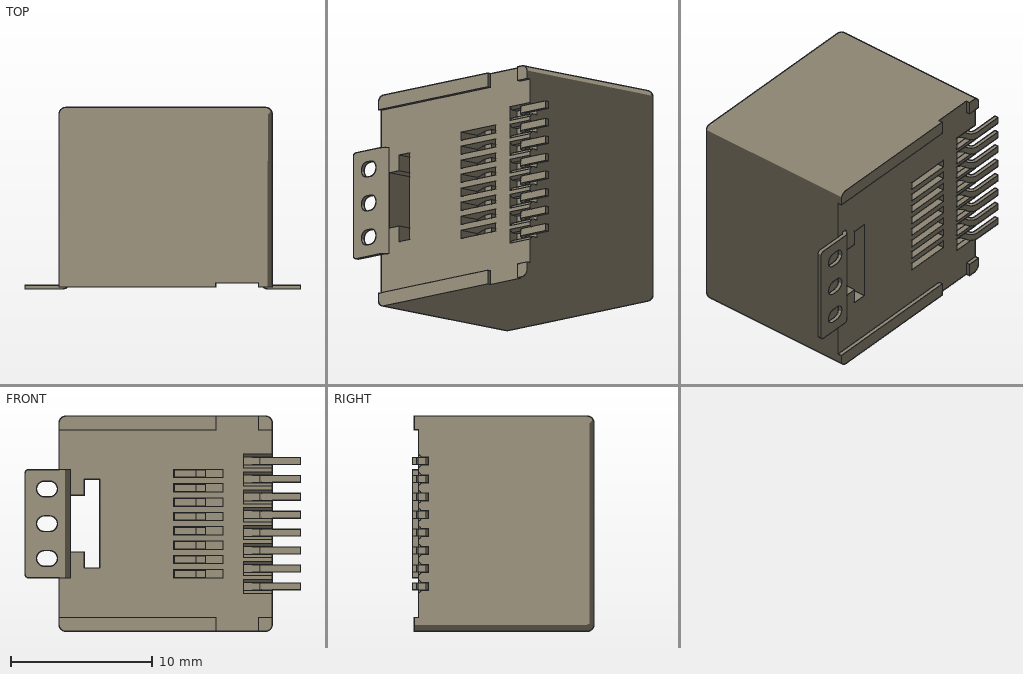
import cadquery as cq


total_x = 19.48
total_y = 12.85
body_z = 15.23
sheet = 0.3

tab_reach = 2.4
pin_reach = 1.99
body_left = tab_reach
body_right = total_x - pin_reach
rail_gap = 0.14
rail_height = 0.3
face_y = rail_gap + rail_height
edge_radius = 0.5

rail_width = 1.0
long_rail = 11.1
short_rail = 1.0

tab_z = 7.65
tab_bend_start = body_left + 0.21
tab_bend_radius = 0.62
tab_leg_depth = 1.55
tab_corner_radius = 0.25
hole_x = 1.55
hole_length = 1.46
hole_width = 1.1
hole_pitch = 2.45
hole_count = 3

latch_left = tab_bend_start + tab_bend_radius
latch_neck_x = 0.97
latch_neck_z = 4.0
latch_head_x = 1.07
latch_head_z = 6.25

way_count = 8
slot_left = body_left + 8.1
slot_x = 3.49
slot_z = 0.58
slot_pitch = 1.01
slot_depth = 1.75
contact_z = 0.5
contact_left = slot_left + 0.05
contact_knee = contact_left + 1.54
contact_right = contact_knee + 0.68
contact_tip_depth = 0.78
contact_knee_depth = 0.82
contact_tail_depth = 1.52

pin_pitch = 1.27
pin_z = 0.5
outer_bend = 0.6
inner_bend = 0.53
pocket_x = 2.05
pocket_z = 1.0
pocket_bevel = 0.21
pocket_left = body_right - pocket_x
pocket_floor_y = outer_bend + inner_bend
pin_bend_x = pocket_left + 1.17


def block(x_min, x_max, y_min, y_max, height):
    """Box centred on Z = 0."""
    return (
        cq.Workplane("XY")
        .box(x_max - x_min, y_max - y_min, height, centered=(False, False, True))
        .translate((x_min, y_min, 0))
    )


def row(pitch, count):
    """Z places of a centred row."""
    return [(i - (count - 1) / 2) * pitch for i in range(count)]


def make_housing():
    housing = block(body_left, body_right, rail_gap, total_y, body_z)
    housing = housing.edges("|Y").fillet(edge_radius).faces(">Y").edges().fillet(edge_radius)
    middle = block(body_left, body_right, rail_gap, face_y, body_z - 2 * rail_width)
    rail_break = block(body_left + long_rail, body_right - short_rail, rail_gap, face_y, body_z)
    return housing.cut(middle).cut(rail_break)


def make_latch_opening():
    head_left = latch_left + latch_neck_x
    neck = block(latch_left, head_left, 0, total_y, latch_neck_z)
    head = block(head_left, head_left + latch_head_x, 0, total_y, latch_head_z)
    return neck.union(head)


def make_tab():
    """Flat tab bent into the housing, with a row of slotted holes."""
    inner = tab_bend_radius - sheet
    leg_right = tab_bend_start + tab_bend_radius
    leg_end = face_y + tab_leg_depth
    tab = (
        cq.Workplane("XY")
        .moveTo(0, 0)
        .lineTo(tab_bend_start, 0)
        .radiusArc((leg_right, tab_bend_radius), -tab_bend_radius)
        .lineTo(leg_right, leg_end)
        .lineTo(leg_right - sheet, leg_end)
        .lineTo(leg_right - sheet, tab_bend_radius)
        .radiusArc((tab_bend_start, sheet), inner)
        .lineTo(0, sheet)
        .close()
        .extrude(tab_z / 2, both=True)
        .edges("|Y and <X")
        .fillet(tab_corner_radius)
    )
    holes = (
        cq.Workplane("XZ")
        .pushPoints([(hole_x, z) for z in row(hole_pitch, hole_count)])
        .slot2D(hole_length, hole_width)
        .extrude(-sheet)
    )
    return tab.cut(holes)


def make_contact_slot():
    return block(slot_left, slot_left + slot_x, face_y, face_y + slot_depth, slot_z)


def make_contact():
    """Contact that bends deeper toward the left of its slot."""
    floor_y = face_y + slot_depth
    return (
        cq.Workplane("XY")
        .polyline([
            (contact_left, floor_y),
            (contact_left, face_y + contact_tail_depth),
            (contact_knee, face_y + contact_knee_depth),
            (contact_right, face_y + contact_tip_depth),
            (contact_right, floor_y),
        ])
        .close()
        .extrude(contact_z / 2, both=True)
    )


def make_pin_pocket():
    """Pocket with bevelled rims above and below, open at the right of the housing."""
    bevel_y = face_y + pocket_bevel
    half_mouth = pocket_z / 2
    half_floor = half_mouth - pocket_bevel
    return (
        cq.Workplane("YZ")
        .polyline([
            (face_y, -half_mouth),
            (face_y, half_mouth),
            (bevel_y, half_floor),
            (pocket_floor_y, half_floor),
            (pocket_floor_y, -half_floor),
            (bevel_y, -half_floor),
        ])
        .close()
        .extrude(pocket_x)
        .translate((pocket_left, 0, 0))
    )


def make_pin():
    """S-bent pin from the pocket floor down to the mounting plane."""
    back_y = pocket_floor_y + sheet
    outer_end = pin_bend_x + outer_bend
    inner_start = pin_bend_x - inner_bend
    return (
        cq.Workplane("XY")
        .moveTo(total_x, 0)
        .lineTo(outer_end, 0)
        .radiusArc((pin_bend_x, outer_bend), outer_bend)
        .radiusArc((inner_start, pocket_floor_y), -inner_bend)
        .lineTo(pocket_left, pocket_floor_y)
        .lineTo(pocket_left, back_y)
        .lineTo(inner_start, back_y)
        .radiusArc((pin_bend_x + sheet, outer_bend), inner_bend + sheet)
        .radiusArc((outer_end, sheet), -(outer_bend - sheet))
        .lineTo(total_x, sheet)
        .close()
        .extrude(pin_z / 2, both=True)
    )


result = make_housing().cut(make_latch_opening()).union(make_tab())

contact_slot = make_contact_slot()
contact = make_contact()
for z in row(slot_pitch, way_count):
    result = result.cut(contact_slot.translate((0, 0, z))).union(contact.translate((0, 0, z)))

pin_pocket = make_pin_pocket()
pin = make_pin()
for z in row(pin_pitch, way_count):
    result = result.cut(pin_pocket.translate((0, 0, z))).union(pin.translate((0, 0, z)))